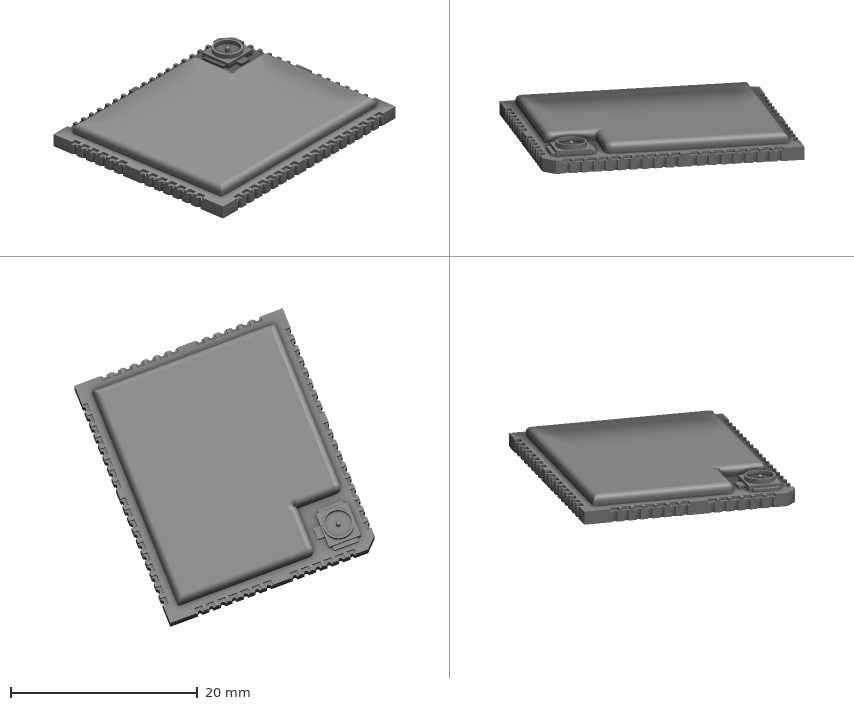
import cadquery as cq

BOARD_X = 23.95
BOARD_Y = 28.4
BOARD_Z = 1.48
CORNER_CHAMFER = 1.2
TOTAL_Z = 2.65

PAD_WIDTH = 0.9
PAD_LENGTH = 0.6
PAD_DEPTH = 0.3
NOTCH_RADIUS = 0.25
PAD_SPAN = 11.88
PAD_SPAN_COUNT = 10
PAD_PITCH = PAD_SPAN / (PAD_SPAN_COUNT - 1)

ROWS_ALONG_X = [(-8.98, 6), (0.63, 7)]
ROWS_ALONG_Y = [(11.7, PAD_SPAN_COUNT), (-2.22, 8)]

CAN_X = 21.0
CAN_Y = 25.5
CAN_ROUND = 0.68
CAN_CORNER_RADIUS = 0.7
CUTOUT_X = 5.25
CUTOUT_Y = 5.55

FUNNEL_OFFSET = 0.15
FUNNEL_RADIUS = 0.77

CONNECTOR_X = -8.72
CONNECTOR_Y = 10.65
BODY_X = 3.65
BODY_Y = 3.95
BODY_Z = 0.65
TAB_Z = 0.35
GROUND_TAB_X = 2.8
GROUND_TABS_Y = 4.9
SIGNAL_TAB_X = 0.8
SIGNAL_TAB_Y = 1.34
RING_OUTER_RADIUS = 1.68
RING_INNER_RADIUS = 1.48
RING_TOP_Z = TOTAL_Z
PIN_RADIUS = 0.25
PIN_TIP_ROUND = 0.17


def block(x_size, y_size, z_size, x, y, z):
    """Box centred on x and y, standing on height z."""
    return cq.Workplane("XY").box(x_size, y_size, z_size, centered=(True, True, False)).translate((x, y, z))


def cylinder(radius, height, x, y, z):
    """Upright cylinder centred on x and y, standing on height z."""
    return cq.Workplane("XY").circle(radius).extrude(height).translate((x, y, z))


def pad_cuts():
    """Recesses and notches along all four edges of the board."""
    recess_z = BOARD_Z - PAD_DEPTH
    recesses = cq.Workplane("XY")
    notches = cq.Workplane("XY")
    for start, count in ROWS_ALONG_X:
        for index in range(count):
            x = start + index * PAD_PITCH
            for y in (-BOARD_Y / 2, BOARD_Y / 2):
                recesses = recesses.add(block(PAD_WIDTH, 2 * PAD_LENGTH, PAD_DEPTH, x, y, recess_z))
                notches = notches.add(cylinder(NOTCH_RADIUS, BOARD_Z, x, y, 0))
    for start, count in ROWS_ALONG_Y:
        for index in range(count):
            y = start - index * PAD_PITCH
            for x in (-BOARD_X / 2, BOARD_X / 2):
                recesses = recesses.add(block(2 * PAD_LENGTH, PAD_WIDTH, PAD_DEPTH, x, y, recess_z))
                notches = notches.add(cylinder(NOTCH_RADIUS, BOARD_Z, x, y, 0))
    return recesses.combine(), notches.combine()


def make_board():
    """Board with one chamfered corner and its edge pads."""
    board = block(BOARD_X, BOARD_Y, BOARD_Z, 0, 0, 0)
    board = board.edges("|Z and <X and >Y").chamfer(CORNER_CHAMFER)
    recesses, notches = pad_cuts()
    return board.cut(recesses).cut(notches)


def corner_funnel(x, y):
    """Cutter that leaves a convex quarter-round rim, revolved about a vertical axis at x, y."""
    profile = (
        cq.Workplane("XZ")
        .moveTo(0, TOTAL_Z - FUNNEL_RADIUS)
        .radiusArc((FUNNEL_RADIUS, TOTAL_Z), FUNNEL_RADIUS)
        .lineTo(0, TOTAL_Z)
        .close()
    )
    return profile.revolve(360, (0, 0, 0), (0, 1, 0)).translate((x, y, 0))


def make_can():
    """Shielding can with two rounded outer corners, a rounded rim and a stepped-in corner."""
    left, right = -CAN_X / 2, CAN_X / 2
    front, back = -CAN_Y / 2, CAN_Y / 2
    step_x = left + CUTOUT_X
    step_y = back - CUTOUT_Y
    outline = [(left, front), (right, front), (right, back), (step_x, back), (step_x, step_y), (left, step_y)]
    can = cq.Workplane("XY").workplane(offset=BOARD_Z).polyline(outline).close().extrude(TOTAL_Z - BOARD_Z)
    for x, y in ((step_x, back), (left, step_y)):
        can = can.edges(cq.NearestToPointSelector((x, y, (BOARD_Z + TOTAL_Z) / 2))).fillet(CAN_CORNER_RADIUS)
    can = can.faces(">Z").edges().fillet(CAN_ROUND)
    return can.cut(corner_funnel(step_x + FUNNEL_OFFSET, step_y - FUNNEL_OFFSET))


def make_connector():
    """Connector body with ground and signal tabs, an upright ring and a centre pin."""
    ground_tabs = block(GROUND_TAB_X, GROUND_TABS_Y, TAB_Z, CONNECTOR_X, CONNECTOR_Y, BOARD_Z)
    body = block(BODY_X, BODY_Y, BODY_Z, CONNECTOR_X, CONNECTOR_Y, BOARD_Z)
    signal_x = CONNECTOR_X + (BODY_X + SIGNAL_TAB_X) / 2
    signal_tab = block(SIGNAL_TAB_X, SIGNAL_TAB_Y, TAB_Z, signal_x, CONNECTOR_Y, BOARD_Z)
    body_top = BOARD_Z + BODY_Z
    ring_height = RING_TOP_Z - body_top
    ring = cylinder(RING_OUTER_RADIUS, ring_height, CONNECTOR_X, CONNECTOR_Y, body_top)
    ring = ring.cut(cylinder(RING_INNER_RADIUS, ring_height, CONNECTOR_X, CONNECTOR_Y, body_top))
    pin = cylinder(PIN_RADIUS, ring_height, CONNECTOR_X, CONNECTOR_Y, body_top)
    pin = pin.faces(">Z").edges().fillet(PIN_TIP_ROUND)
    return body.union(ground_tabs).union(signal_tab).union(ring).union(pin)


result = make_board().union(make_can()).union(make_connector())